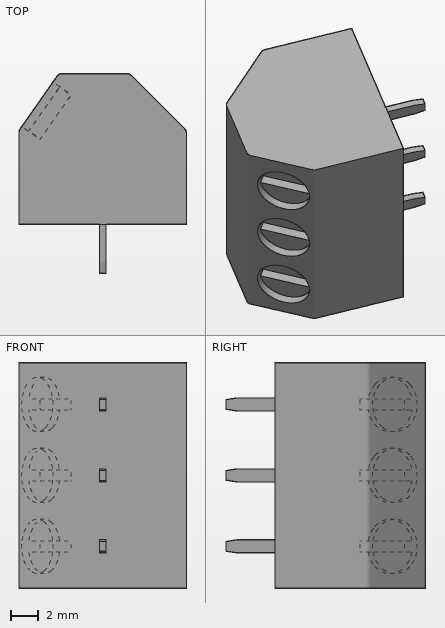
import cadquery as cq
import math


POLE_COUNT = 3
POLE_PITCH = 5.08

BODY_WIDTH = 12.0
BODY_DEPTH = 10.8
END_MARGIN = 0.46
BODY_LENGTH = POLE_COUNT * POLE_PITCH + 2 * END_MARGIN
SLOPE_DROP = 4.08
SCREW_SLOPE_ANGLE = 55.0
WIRE_SLOPE_ANGLE = 45.0
CORNER_RADIUS = 0.45

SCREW_DIAMETER = 3.9
SCREW_RECESS = 0.6
SLOT_WIDTH = 0.8
SLOT_DEPTH = 1.0
SCREW_DROP = 2.2

PIN_LENGTH = 3.5
PIN_THICKNESS = 0.5
PIN_WIDTH = 0.95
PIN_TIP_WIDTH = 0.7
PIN_TAPER_LENGTH = 0.8

SCREW_SLOPE = math.radians(SCREW_SLOPE_ANGLE)
WIRE_SLOPE = math.radians(WIRE_SLOPE_ANGLE)
SCREW_SLOPE_RUN = SLOPE_DROP / math.tan(SCREW_SLOPE)
WIRE_SLOPE_RUN = SLOPE_DROP / math.tan(WIRE_SLOPE)
POLE_HEIGHTS = [(i - (POLE_COUNT - 1) / 2) * POLE_PITCH for i in range(POLE_COUNT)]


def make_housing():
    """Prism with two sloped upper faces and rounded slope corners."""
    half_width = BODY_WIDTH / 2
    shoulder = BODY_DEPTH - SLOPE_DROP
    outline = [
        (-half_width, 0),
        (half_width, 0),
        (half_width, shoulder),
        (half_width - WIRE_SLOPE_RUN, BODY_DEPTH),
        (-half_width + SCREW_SLOPE_RUN, BODY_DEPTH),
        (-half_width, shoulder),
    ]
    prism = cq.Workplane("XY").polyline(outline).close().extrude(BODY_LENGTH / 2, both=True)
    return prism.edges("|Z").edges(cq.selectors.BoxSelector(
        (-BODY_WIDTH, shoulder / 2, -BODY_LENGTH),
        (BODY_WIDTH, 2 * BODY_DEPTH, BODY_LENGTH),
    )).fillet(CORNER_RADIUS)


def make_screw_recess(height):
    """Round recess square to the -X slope, with a deeper driver slot at its floor."""
    center_x = -BODY_WIDTH / 2 + SCREW_SLOPE_RUN - SCREW_DROP / math.tan(SCREW_SLOPE)
    inward = (math.sin(SCREW_SLOPE), -math.cos(SCREW_SLOPE), 0)
    along_slope = (math.cos(SCREW_SLOPE), math.sin(SCREW_SLOPE), 0)
    face = cq.Plane(
        origin=(center_x, BODY_DEPTH - SCREW_DROP, height),
        xDir=along_slope,
        normal=inward,
    )
    slot_floor = SCREW_RECESS + SLOT_DEPTH
    head_pocket = cq.Workplane(face).circle(SCREW_DIAMETER / 2).extrude(SCREW_RECESS)
    slot_bounds = cq.Workplane(face).circle(SCREW_DIAMETER / 2).extrude(slot_floor)
    slot = cq.Workplane(face).rect(SCREW_DIAMETER, SLOT_WIDTH).extrude(slot_floor)
    return head_pocket.union(slot.intersect(slot_bounds))


def make_pin(height):
    """Flat pin below the housing, tapered in Z towards its tip."""
    half_width = PIN_WIDTH / 2
    half_tip = PIN_TIP_WIDTH / 2
    taper_start = -PIN_LENGTH + PIN_TAPER_LENGTH
    outline = [
        (0, -half_width),
        (taper_start, -half_width),
        (-PIN_LENGTH, -half_tip),
        (-PIN_LENGTH, half_tip),
        (taper_start, half_width),
        (0, half_width),
    ]
    pin = cq.Workplane("YZ").polyline(outline).close().extrude(PIN_THICKNESS / 2, both=True)
    return pin.translate((0, 0, height))


result = make_housing()
for pole_height in POLE_HEIGHTS:
    result = result.cut(make_screw_recess(pole_height))
    result = result.union(make_pin(pole_height))